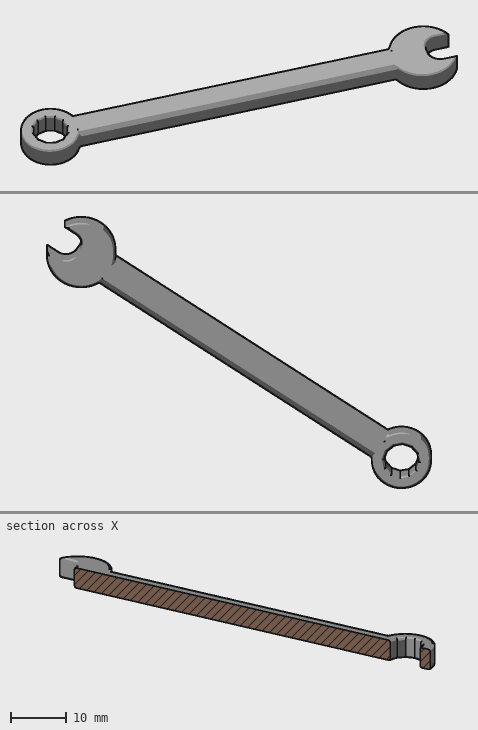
import cadquery as cq
import math

thickness = 4.0
center_distance = 70.38
edge_radius = 0.5

head_diameter = 12.5
jaw_width = 5.6
jaw_corner_radius = 2.4
jaw_floor_offset = 0.7

ring_diameter = 10.8
socket_sides = 12
socket_diameter = 6.3

handle_width = 5.6
handle_edge_radius = 1.4

head_radius = head_diameter / 2
ring_radius = ring_diameter / 2
half_thickness = thickness / 2
handle_start = (ring_radius + socket_diameter / 2) / 2


def make_jaw_head():
    """Round disc, opened towards +Y by a slot with a rounded root."""
    disc = cq.Workplane("XY").circle(head_radius).extrude(half_thickness, both=True)
    opening = (
        cq.Workplane("XY")
        .center(0, jaw_floor_offset + head_radius / 2)
        .rect(jaw_width, head_radius)
        .extrude(half_thickness, both=True)
        .edges("|Z and <Y")
        .fillet(jaw_corner_radius)
    )
    head = disc.cut(opening).faces("<Z or >Z").edges().fillet(edge_radius)
    return head.translate((0, center_distance, 0))


def make_ring():
    """Round disc with a regular polygonal socket."""
    return (
        cq.Workplane("XY")
        .circle(ring_radius)
        .polygon(socket_sides, socket_diameter)
        .extrude(half_thickness, both=True)
        .faces("<Z or >Z")
        .edges()
        .fillet(edge_radius)
    )


def make_handle():
    """Bar with rounded long edges, running from the ring wall to the head centre."""
    return (
        cq.Workplane("XZ", origin=(0, handle_start, 0))
        .rect(handle_width, thickness)
        .extrude(handle_start - center_distance)
        .edges("|Y")
        .fillet(handle_edge_radius)
    )


def junction_edges(center_y, radius, handle_side):
    """Selector for the edges where the handle meets the wall and rims of one end.

    handle_side is +1 or -1, the direction along Y in which the handle leaves.
    """
    margin = 0.1
    half_width = handle_width / 2
    chord_distance = math.sqrt(radius**2 - half_width**2)
    near_y = center_y + handle_side * (chord_distance - margin)
    far_y = center_y + handle_side * (radius + margin)
    top = half_thickness + margin
    return cq.selectors.BoxSelector(
        (-half_width - margin, near_y, -top),
        (half_width + margin, far_y, top),
        boundingbox=True,
    )


wrench = make_handle().union(make_ring()).union(make_jaw_head())
ring_junction = junction_edges(0, ring_radius, 1)
head_junction = junction_edges(center_distance, head_radius, -1)
result = wrench.edges(ring_junction + head_junction).fillet(edge_radius)